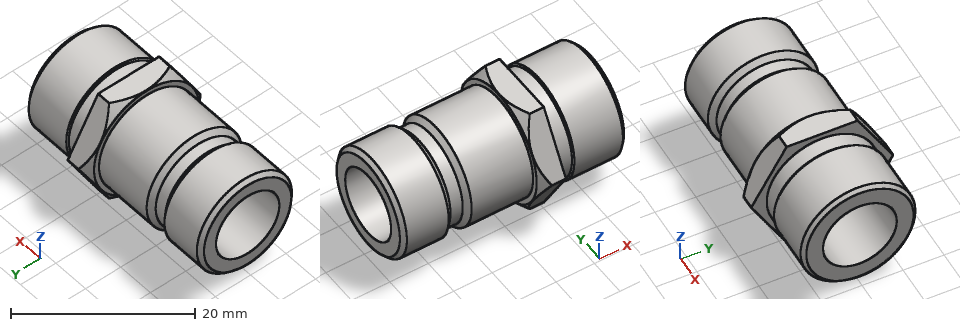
import cadquery as cq
import math

length = 29.0
bore_diameter = 9.0

body_diameter = 13.5
plug_chamfer = 0.55
groove_start = 6.0
groove_end = 9.0
groove_diameter = 12.12

hex_start = 17.0
hex_end = 20.0
hex_across_flats = 15.0
hex_face_diameter = 14.94

thread_start = 22.07
thread_step_length = 0.15
thread_diameter = 14.0
thread_chamfer = 0.45

body_radius = body_diameter / 2
groove_radius = groove_diameter / 2
thread_radius = thread_diameter / 2

groove_depth = body_radius - groove_radius


def revolve_about_x(profile):
    """Turn a closed profile of (x, radius) points about the X axis."""
    return cq.Workplane("XY").polyline(profile).close().revolve(360, (0, 0, 0), (1, 0, 0))


def turned_body():
    profile = [
        (0, 0),
        (0, body_radius - plug_chamfer),
        (plug_chamfer, body_radius),
        (groove_start, body_radius),
        (groove_start + groove_depth, groove_radius),
        (groove_end - groove_depth, groove_radius),
        (groove_end, body_radius),
        (thread_start, body_radius),
        (thread_start + thread_step_length, thread_radius),
        (length - thread_chamfer, thread_radius),
        (length, thread_radius - thread_chamfer),
        (length, 0),
    ]
    return revolve_about_x(profile)


def hex_collar():
    """Hexagon with corners on +-Y, its corners coned at 45 degrees on the plug side."""
    across_corners = hex_across_flats / math.cos(math.pi / 6)
    width = hex_end - hex_start
    prism = cq.Workplane("YZ", origin=(hex_start, 0, 0)).polygon(6, across_corners).extrude(width)

    face_radius = hex_face_diameter / 2
    cone = revolve_about_x([
        (hex_start, 0),
        (hex_start, face_radius),
        (hex_end, face_radius + width),
        (hex_end, 0),
    ])
    return prism.intersect(cone)


def through_bore():
    return cq.Workplane("YZ").circle(bore_diameter / 2).extrude(length)


result = turned_body().union(hex_collar()).cut(through_bore())